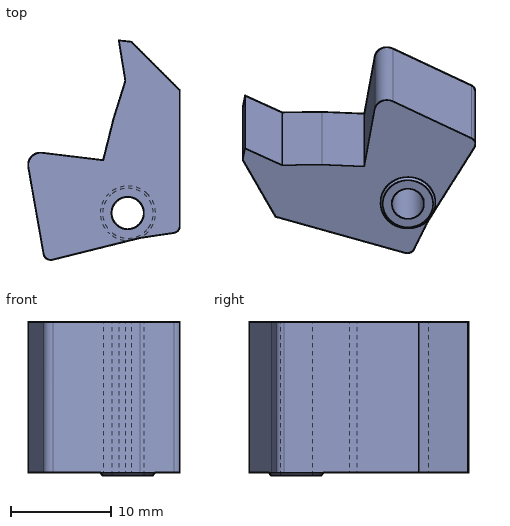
import cadquery as cq

total_height = 15.3
seat_height = 0.3
block_height = total_height - seat_height

hole_diameter = 3.2
seat_tip_diameter = 5.0
seat_base_diameter = 5.47

heel_radius = 1.25
base_radius = 0.75

back_x = 5.2
heel_corner = (-10.2, 6.21)
base_left_corner = (-8.25, -4.85)
base_bend = (1.22, -2.5)
base_right_corner = (back_x, -1.9)
back_top = (back_x, 12.2)
nose_back_y = 17.05
nose_back = (back_x - (nose_back_y - back_top[1]), nose_back_y)
nose_tip = (-0.9, 17.2)
throat_top = (-0.25, 13.15)
throat_bend = (-1.42, 9.38)
throat_bottom = (-2.45, 5.27)

profile = [
    heel_corner,
    base_left_corner,
    base_bend,
    base_right_corner,
    back_top,
    nose_back,
    nose_tip,
    throat_top,
    throat_bend,
    throat_bottom,
]


def round_corner(body, corner, radius):
    """Round the vertical edge standing on a profile corner."""
    nearest = cq.selectors.NearestToPointSelector((*corner, total_height / 2))
    return body.edges("|Z").edges(nearest).fillet(radius)


def make_prism(height):
    """Extrude the profile up from the XY plane and round its outer corners."""
    body = cq.Workplane("XY").polyline(profile).close().extrude(height)
    body = round_corner(body, heel_corner, heel_radius)
    body = round_corner(body, base_left_corner, base_radius)
    return round_corner(body, base_right_corner, base_radius)


def make_seat():
    """Tapered seat below the block, trimmed flush with the block sides."""
    cone = (
        cq.Workplane("XY")
        .circle(seat_base_diameter / 2)
        .workplane(offset=-seat_height)
        .circle(seat_tip_diameter / 2)
        .loft()
    )
    return cone.intersect(make_prism(seat_height).translate((0, 0, -seat_height)))


hole = (
    cq.Workplane("XY")
    .workplane(offset=-seat_height)
    .circle(hole_diameter / 2)
    .extrude(total_height)
)
result = make_prism(block_height).union(make_seat()).cut(hole)